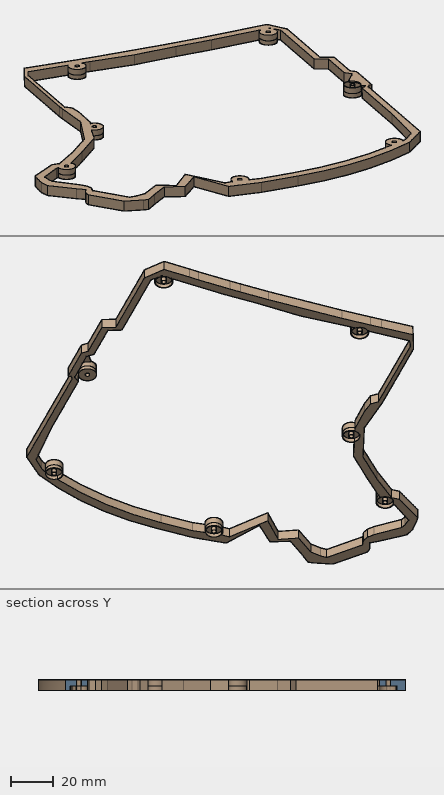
import cadquery as cq

frame_height = 5.0
boss_diameter = 8.5
screw_hole_diameter = 2.0
recess_diameter = 8.0
sleeve_diameter = 2.5
recess_floor = 2.0
web_thickness = 0.8

recessed_boss = (82.0, 180.2)
plain_bosses = [
    (8.3, 170.5),
    (152.4, 169.9),
    (163.7, 85.9),
    (116.0, 18.8),
    (78.3, 50.1),
    (9.0, 72.5),
]

web_corners = [
    (70.3, 185.3),
    (77.0, 180.5),
    (83.6, 182.1),
    (85.7, 185.1),
    (85.9, 186.8),
    (70.3, 186.8),
]

outer_top = [
    (0.0, 173.5),
    (8.9, 179.9),
    (46.0, 179.9),
    (48.5, 185.9),
    (66.3, 185.9),
    (68.7, 188.3),
    (85.9, 188.3),
    (85.9, 186.8),
    (87.2, 185.9),
    (146.2, 185.9),
    (155.8, 176.1),
]
outer_right_bow = [(167.5, 144.8), (171.2, 112.3)]
outer_lobe_and_bottom = [
    (171.2, 93.5),
    (169.3, 77.6),
    (152.2, 67.6),
    (161.2, 59.0),
    (157.5, 50.1),
    (163.9, 42.2),
    (168.2, 37.3),
    (167.8, 34.8),
    (165.4, 26.0),
    (151.6, 14.0),
    (149.4, 13.7),
    (146.9, 14.5),
    (145.4, 15.5),
    (142.8, 11.9),
    (133.7, 1.1),
    (129.2, 0.0),
    (122.6, 0.4),
    (120.7, 0.8),
    (111.7, 13.4),
    (111.9, 17.1),
    (102.3, 28.0),
    (90.0, 39.7),
    (70.6, 46.5),
    (53.3, 45.2),
    (50.0, 45.0),
    (10.5, 45.0),
    (1.3, 49.0),
]
outer_left = [
    (1.9, 64.5),
    (2.0, 69.9),
    (2.5, 83.8),
    (2.5, 120.5),
    (2.0, 134.5),
    (1.9, 140.0),
    (1.1, 155.8),
    (0.8, 160.5),
]

inner_top = [
    (4.5, 172.7),
    (9.0, 176.5),
    (46.9, 176.5),
    (49.5, 182.5),
    (67.5, 182.5),
    (70.3, 185.3),
    (85.7, 185.1),
    (87.8, 182.5),
    (121.9, 182.5),
    (146.2, 181.2),
    (150.9, 176.9),
    (152.4, 174.8),
    (155.5, 166.9),
]
inner_right_bow = [(164.0, 138.5), (166.7, 111.1)]
inner_lobe_and_bottom = [
    (166.7, 95.5),
    (164.6, 81.5),
    (164.6, 77.8),
    (147.7, 65.2),
    (158.2, 56.0),
    (153.9, 47.5),
    (161.0, 38.6),
    (162.0, 33.5),
    (162.0, 30.3),
    (147.7, 17.9),
    (144.6, 18.6),
    (141.8, 17.7),
    (139.0, 15.5),
    (129.8, 5.3),
    (127.7, 4.5),
    (124.9, 4.3),
    (124.0, 4.0),
    (116.4, 13.7),
    (113.5, 22.5),
    (103.5, 32.4),
    (91.0, 44.3),
    (82.3, 46.9),
    (72.9, 50.5),
    (59.9, 50.7),
    (53.9, 50.0),
    (51.2, 47.0),
    (9.6, 47.0),
    (6.0, 48.8),
]
inner_left = [
    (6.8, 80.2),
    (8.0, 102.3),
    (6.8, 124.1),
    (6.4, 142.2),
]


def plate(top, right_bow, lobe_and_bottom, left):
    """Solid plate whose right edge holds one arc between its straight stretches."""
    outline = cq.Workplane("XY").polyline(top).threePointArc(*right_bow)
    for point in lobe_and_bottom + left:
        outline = outline.lineTo(*point)
    return outline.close().extrude(frame_height)


def cylinders(centres, diameter, height, base=0):
    """Upright cylinders at the given centres."""
    plane = cq.Workplane("XY", origin=(0, 0, base))
    return plane.pushPoints(centres).circle(diameter / 2).extrude(height)


def ring_recesses(centres, height, base=0):
    """Ring-shaped cutters that leave a thin sleeve around each screw hole."""
    cutters = cylinders(centres, recess_diameter, height, base)
    return cutters.cut(cylinders(centres, sleeve_diameter, height, base))


outer_plate = plate(outer_top, outer_right_bow, outer_lobe_and_bottom, outer_left)
opening = plate(inner_top, inner_right_bow, inner_lobe_and_bottom, inner_left)
frame = outer_plate.cut(opening)

web_base = frame_height - web_thickness
web_plane = cq.Workplane("XY", origin=(0, 0, web_base))
web = web_plane.polyline(web_corners).close().extrude(web_thickness)

all_bosses = plain_bosses + [recessed_boss]
bosses = cylinders(all_bosses, boss_diameter, frame_height)
screw_holes = cylinders(all_bosses, screw_hole_diameter, frame_height)

top_recess = ring_recesses([recessed_boss], frame_height - recess_floor, recess_floor)
bottom_recesses = ring_recesses(plain_bosses, recess_floor)

solid_body = frame.union(web).union(bosses)
result = solid_body.cut(screw_holes).cut(top_recess).cut(bottom_recesses)